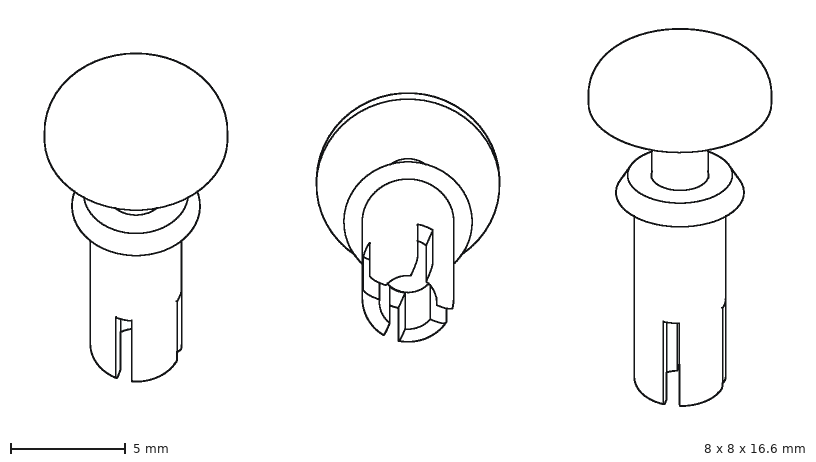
import cadquery as cq

head_diameter = 8.0
head_height = 2.0
head_edge_radius = 1.5
pin_diameter = 2.45
pin_bottom = 3.65
pin_tip_radius = 1.0

sleeve_diameter = 4.0
bore_diameter = 2.5
sleeve_edge_radius = 0.5
collar_lower_diameter = 5.6
collar_upper_diameter = 4.58
collar_bottom = 10.0
collar_height = 0.9
slot_width = 0.72
slot_height = 4.5

overall_height = 16.6
sleeve_top = collar_bottom + collar_height
head_bottom = overall_height - head_height


def make_plunger():
    pin = (
        cq.Workplane("XY")
        .workplane(offset=pin_bottom)
        .circle(pin_diameter / 2)
        .extrude(head_bottom - pin_bottom)
        .faces("<Z")
        .edges()
        .fillet(pin_tip_radius)
    )
    head = (
        cq.Workplane("XY")
        .workplane(offset=head_bottom)
        .circle(head_diameter / 2)
        .extrude(head_height)
        .faces(">Z")
        .edges()
        .fillet(head_edge_radius)
    )
    return pin.union(head)


def make_collar():
    return (
        cq.Workplane("XZ")
        .moveTo(0, collar_bottom)
        .lineTo(collar_lower_diameter / 2, collar_bottom)
        .lineTo(collar_upper_diameter / 2, sleeve_top)
        .lineTo(0, sleeve_top)
        .close()
        .revolve(360, (0, 0, 0), (0, 1, 0))
    )


def make_sleeve():
    tube = (
        cq.Workplane("XY")
        .circle(sleeve_diameter / 2)
        .extrude(sleeve_top)
        .faces("<Z")
        .edges()
        .fillet(sleeve_edge_radius)
    )
    bore = cq.Workplane("XY").circle(bore_diameter / 2).extrude(sleeve_top)
    sleeve = tube.union(make_collar()).cut(bore)

    slot = cq.Workplane("XY").rect(collar_lower_diameter, slot_width).extrude(slot_height)
    for angle in (0, 90):
        sleeve = sleeve.cut(slot.rotate((0, 0, 0), (0, 0, 1), angle))
    return sleeve


plunger = make_plunger()
sleeve = make_sleeve()

result = cq.Compound.makeCompound([plunger.val(), sleeve.val()])